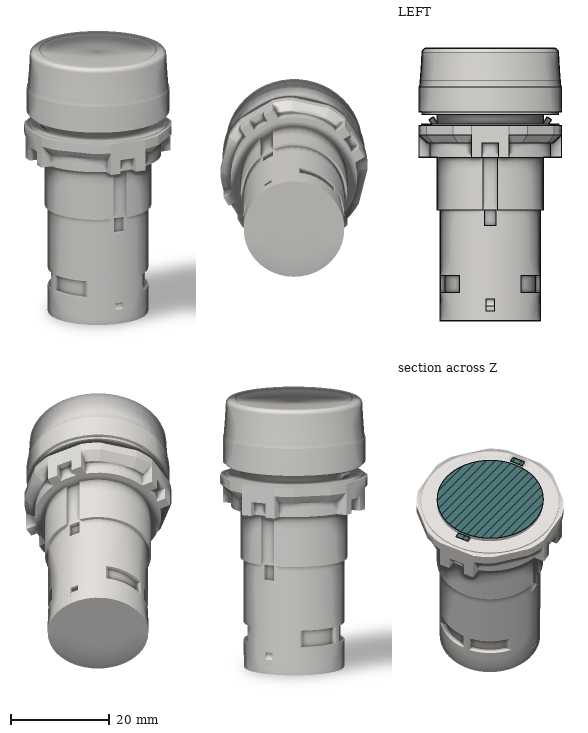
import cadquery as cq
import math

UPPER_BODY_BOTTOM = 22.55
NUT_BOTTOM = 33.25
NUT_COLLAR_TOP = 36.15
NUT_FLANGE_BOTTOM = 37.8
NUT_FLANGE_TOP = 39.75
NUT_TOP = 40.0
LIP_BOTTOM = 41.95
BEZEL_BOTTOM = 42.5
BEZEL_TOP = 47.6
LENS_BOTTOM = 48.9
LENS_SHOULDER = 54.55
TOTAL_HEIGHT = 55.5

BODY_RADIUS = 20.5 / 2
UPPER_BODY_RADIUS = 21.7 / 2
BEZEL_RADIUS = 29.0 / 2
LIP_RADIUS = 27.8 / 2
NUT_DISC_RADIUS = 28.0 / 2
POCKET_FLOOR_RADIUS = 9.25

LENS_TOP_RADIUS = 27.8 / 2
LENS_BOTTOM_RADIUS = 14.25
LENS_SAG = 0.03
FLARE_SAG = 0.03
FLARE_RADIUS = 28.8 / 2
RIM_OUTER_RADIUS = 12.9
RIM_INNER_RADIUS = 24.0 / 2
GROOVE_WIDTH = 0.2
GROOVE_DEPTH = 0.15
DISH_RADIUS = 11.45
DISH_EDGE_DROP = 0.05
DISH_CENTRE_DROP = 0.55

NUT_APOTHEM = BEZEL_RADIUS
NUT_FLAT_WIDTH = 7.65
NUT_CORNER_RADIUS = math.hypot(NUT_APOTHEM, NUT_FLAT_WIDTH / 2)
NUT_CHAMFER = NUT_FLANGE_BOTTOM - NUT_COLLAR_TOP
NUT_COLLAR_RADIUS = NUT_APOTHEM - NUT_CHAMFER
NUT_TAPER_ANGLE = 45
OCTAGON_TURN = 45
TAB_NOTCH_WIDTH = 3.4

CLIP_WIDTH = 2.7
CLIP_TIP_OUTER = (12.5, 40.9)
CLIP_TIP_INNER = (11.6, 41.5)
CLIP_ROOT_INNER = (10.4, NUT_FLANGE_TOP)
CLIP_ROOT_OUTER = (11.65, NUT_FLANGE_TOP)

KEYWAY_WIDTH = 3.05
POCKET_WIDTH = 2.4
POCKET_BOTTOM = 19.35
CATCH_WIDTH = 1.65
CATCH_BOTTOM = 1.95
CATCH_EDGE = 3.0
CATCH_TOP = 4.45
CATCH_RECESS = 0.1

WINDOW_BOTTOM = 5.7
WINDOW_TOP = 9.2
WINDOW_GAP = 1.45
WINDOW_SIDE_Y = 6.2


def disc(radius, bottom, top):
    return cq.Workplane("XY").workplane(offset=bottom).circle(radius).extrude(top - bottom)


def box(x_range, y_range, z_range):
    sizes = [high - low for low, high in (x_range, y_range, z_range)]
    corner = (x_range[0], y_range[0], z_range[0])
    return cq.Workplane("XY").box(*sizes, centered=False).translate(corner)


def around(shape, angle):
    """Copy of the shape turned about the part's axis."""
    return shape.rotate((0, 0, 0), (0, 0, 1), angle)


def make_cap():
    """Revolved bezel and lens, with a grooved rim and a shallow conical dish on top."""
    lens_middle = (
        (LENS_BOTTOM_RADIUS + LENS_TOP_RADIUS) / 2 - LENS_SAG,
        (LENS_BOTTOM + LENS_SHOULDER) / 2,
    )
    flare_middle = (
        (FLARE_RADIUS + LENS_BOTTOM_RADIUS) / 2 - FLARE_SAG,
        (BEZEL_TOP + LENS_BOTTOM) / 2,
    )
    groove_floor = TOTAL_HEIGHT - GROOVE_DEPTH
    dish_edge = TOTAL_HEIGHT - DISH_EDGE_DROP
    shoulder_width = LENS_TOP_RADIUS - RIM_OUTER_RADIUS
    shoulder_height = TOTAL_HEIGHT - LENS_SHOULDER
    shoulder_middle = (
        RIM_OUTER_RADIUS + shoulder_width * math.sqrt(0.5),
        LENS_SHOULDER + shoulder_height * math.sqrt(0.5),
    )
    profile = (
        cq.Workplane("XZ")
        .moveTo(0, LIP_BOTTOM)
        .lineTo(LIP_RADIUS, LIP_BOTTOM)
        .lineTo(LIP_RADIUS, BEZEL_BOTTOM)
        .lineTo(BEZEL_RADIUS, BEZEL_BOTTOM)
        .lineTo(BEZEL_RADIUS, BEZEL_TOP)
        .lineTo(FLARE_RADIUS, BEZEL_TOP)
        .threePointArc(flare_middle, (LENS_BOTTOM_RADIUS, LENS_BOTTOM))
        .threePointArc(lens_middle, (LENS_TOP_RADIUS, LENS_SHOULDER))
        .threePointArc(shoulder_middle, (RIM_OUTER_RADIUS, TOTAL_HEIGHT))
        .lineTo(RIM_INNER_RADIUS, TOTAL_HEIGHT)
        .lineTo(RIM_INNER_RADIUS, groove_floor)
        .lineTo(RIM_INNER_RADIUS - GROOVE_WIDTH, groove_floor)
        .lineTo(RIM_INNER_RADIUS - GROOVE_WIDTH, dish_edge)
        .lineTo(DISH_RADIUS, dish_edge)
        .lineTo(0, TOTAL_HEIGHT - DISH_CENTRE_DROP)
        .close()
    )
    return profile.revolve(360, (0, 0, 0), (0, 1, 0))


def octagon_prism(bottom, top):
    square = cq.Workplane("XY").workplane(offset=bottom).rect(2 * NUT_APOTHEM, 2 * NUT_APOTHEM)
    upright = square.extrude(top - bottom)
    return upright.intersect(around(upright, OCTAGON_TURN))


def octagon_taper():
    """Octagonal frustum, widest at the underside of the flange."""
    square = (
        cq.Workplane("XY")
        .workplane(offset=NUT_FLANGE_BOTTOM)
        .rect(2 * NUT_APOTHEM, 2 * NUT_APOTHEM)
        .extrude(-NUT_CHAMFER, taper=NUT_TAPER_ANGLE)
    )
    return square.intersect(around(square, OCTAGON_TURN))


def make_nut():
    flange = octagon_prism(NUT_FLANGE_BOTTOM, NUT_FLANGE_TOP)
    flange = flange.intersect(disc(NUT_CORNER_RADIUS, NUT_FLANGE_BOTTOM, NUT_FLANGE_TOP))
    corner_cone = (
        cq.Workplane("XY")
        .workplane(offset=NUT_FLANGE_BOTTOM)
        .circle(NUT_CORNER_RADIUS)
        .extrude(-NUT_CHAMFER, taper=NUT_TAPER_ANGLE)
    )
    nut = flange.union(octagon_taper().intersect(corner_cone))
    nut = nut.union(disc(NUT_COLLAR_RADIUS, NUT_BOTTOM, NUT_FLANGE_BOTTOM))
    nut = nut.union(disc(NUT_DISC_RADIUS, NUT_FLANGE_TOP, NUT_TOP))

    half_tab = NUT_FLAT_WIDTH / 2
    half_notch = TAB_NOTCH_WIDTH / 2
    tab = box((0, NUT_APOTHEM), (-half_tab, half_tab), (NUT_BOTTOM, NUT_FLANGE_TOP))
    notch = box((0, NUT_APOTHEM), (-half_notch, half_notch), (NUT_BOTTOM, NUT_COLLAR_TOP))
    tab = tab.cut(notch)
    for angle in (0, 90, 180, 270):
        nut = nut.union(around(tab, angle))
    return nut


def make_clip():
    """Spring clip on the +Y side."""
    profile = [CLIP_TIP_OUTER, CLIP_TIP_INNER, CLIP_ROOT_INNER, CLIP_ROOT_OUTER]
    return cq.Workplane("YZ").polyline(profile).close().extrude(CLIP_WIDTH / 2, both=True)


def curved_pocket(x_range, y_range, z_range, floor_radius):
    """Cutter whose floor is a cylinder about the part's axis."""
    return box(x_range, y_range, z_range).cut(disc(floor_radius, *z_range))


def side_cutters():
    """Keyway, the pocket below it, and the recess with a sloped catch, on the +X side."""
    reach = (0, BEZEL_RADIUS)
    keyway_y = (-KEYWAY_WIDTH / 2, KEYWAY_WIDTH / 2)
    pocket_y = (-POCKET_WIDTH / 2, POCKET_WIDTH / 2)
    keyway = curved_pocket(reach, keyway_y, (UPPER_BODY_BOTTOM, NUT_BOTTOM), BODY_RADIUS)
    pocket = curved_pocket(reach, pocket_y, (POCKET_BOTTOM, UPPER_BODY_BOTTOM), POCKET_FLOOR_RADIUS)
    catch_face = BODY_RADIUS - CATCH_RECESS
    catch_profile = [
        (BEZEL_RADIUS, CATCH_BOTTOM),
        (catch_face, CATCH_BOTTOM),
        (catch_face, CATCH_EDGE),
        (POCKET_FLOOR_RADIUS, CATCH_TOP),
        (BEZEL_RADIUS, CATCH_TOP),
    ]
    catch = cq.Workplane("XZ").polyline(catch_profile).close().extrude(CATCH_WIDTH / 2, both=True)
    return [keyway, pocket, catch]


def window_cutter():
    """Window in the +X, +Y quarter of the lower body."""
    x_range = (WINDOW_GAP / 2, BEZEL_RADIUS)
    y_range = (WINDOW_SIDE_Y, BEZEL_RADIUS)
    return curved_pocket(x_range, y_range, (WINDOW_BOTTOM, WINDOW_TOP), POCKET_FLOOR_RADIUS)


def make_body():
    body = disc(BODY_RADIUS, 0, LIP_BOTTOM)
    body = body.union(disc(UPPER_BODY_RADIUS, UPPER_BODY_BOTTOM, LIP_BOTTOM))
    for cutter in side_cutters():
        body = body.cut(cutter).cut(around(cutter, 180))
    window = window_cutter()
    for quarter in (window, window.mirror("YZ")):
        body = body.cut(quarter).cut(around(quarter, 180))
    return body


clip = make_clip()
result = make_body().union(make_cap()).union(make_nut())
result = result.union(clip).union(around(clip, 180))